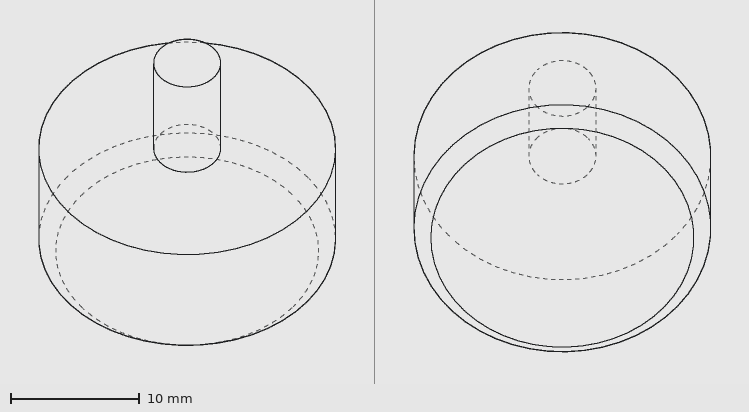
import cadquery as cq

total_height = 24.0
body_diameter = 23.1
stem_diameter = 5.2
stem_length = 9.5
chamfer_size = 1.32
tip_height = 3.05

body_radius = body_diameter / 2
stem_radius = stem_diameter / 2
tip_radius = body_radius - chamfer_size
body_bottom = tip_height + chamfer_size
body_top = total_height - stem_length

result = (
    cq.Workplane("XZ")
    .moveTo(0, 0)
    .lineTo(tip_radius, tip_height)
    .lineTo(body_radius, body_bottom)
    .lineTo(body_radius, body_top)
    .lineTo(stem_radius, body_top)
    .lineTo(stem_radius, total_height)
    .lineTo(0, total_height)
    .close()
    .revolve(360, (0, 0, 0), (0, 1, 0))
)